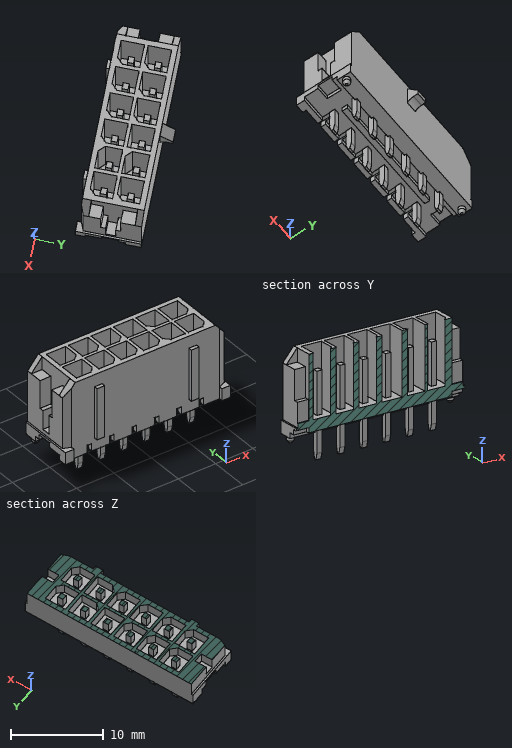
import cadquery as cq

columns = 6
rows = 2
pin_span = 15.0
pitch = pin_span / (columns - 1)

base_length = 22.15
housing_length = 21.7
housing_depth = 6.87
housing_height = 9.92
half_length = housing_length / 2
half_depth = housing_depth / 2

foot_height = 1.6
foot_inner_x = 9.9
front_projection = 0.47
front_y = -half_depth - front_projection

shoulder_z = 8.25
core_half_length = 9.41
corner_setback = 0.4
back_web = 0.73
front_web = 1.0
keyway_steps = [
    (2.2, 4.59),
    (1.13, 2.13),
]

channel_height = 0.66
channel_back_y = 1.65
channel_front_y = -2.8
end_notch_width = 1.88
end_notch_height = 1.26
spacer_width = 0.69
pin_notch_width = 0.58
pin_notch_height = 1.0

socket_size = 2.6
socket_floor_z = 2.13
key_size = 0.66
front_row_keys = ["right", "right", "right", "right", "left", "right"]
back_row_keys = ["right", "right", "right", "none", "left", "right"]

pin_size = 0.69
pin_row_offset = 0.07
pin_top_z = 7.3
pin_bottom_z = -3.17
pin_taper_z = -2.33
pin_tip_width = 0.29

rib_spacing = 12.65
rib_width = 1.02
rib_top_z = 8.33

latch_width = 1.45
latch_tip_y = 4.87
latch_root_z = 9.25
latch_tip_top_z = 7.7
latch_tip_bottom_z = 6.98
latch_fillet = 0.97
latch_flat_end_y = 4.27

peg_x = 10.48
peg_y = 2.48
peg_diameter = 0.89
peg_shoulder_z = -0.53
peg_bottom_z = -0.89
peg_tip_diameter = 0.27


def block(x_min, x_max, y_min, y_max, z_min, z_max):
    size = (x_max - x_min, y_max - y_min, z_max - z_min)
    return cq.Workplane("XY").box(*size, centered=False).translate((x_min, y_min, z_min))


def column_x(column):
    return (column - (columns - 1) / 2) * pitch


def row_y(row):
    return (row - (rows - 1) / 2) * pitch


def make_housing():
    front_outline = [
        (-half_length, 0),
        (half_length, 0),
        (half_length, shoulder_z),
        (core_half_length, housing_height),
        (-core_half_length, housing_height),
        (-half_length, shoulder_z),
    ]
    plan_outline = [
        (-half_length, half_depth),
        (half_length, half_depth),
        (half_length, -half_depth + corner_setback),
        (foot_inner_x, -half_depth),
        (-foot_inner_x, -half_depth),
        (-half_length, -half_depth + corner_setback),
    ]
    profile = cq.Workplane("XZ").polyline(front_outline).close().extrude(half_depth, both=True)
    plan = cq.Workplane("XY").polyline(plan_outline).close().extrude(housing_height)
    return profile.intersect(plan)


def make_foot(side):
    """Foot under one end wall: a thin skirt, wider where it projects past the front wall."""
    outer = side * base_length / 2
    inner = side * foot_inner_x
    return block(min(outer, inner), max(outer, inner), front_y, half_depth, 0, foot_height)


def make_end_cuts(side):
    """Gap between the corner webs, the stepped keyway under it and the small notch below it."""
    core = side * core_half_length
    outer = side * base_length / 2
    x_min = min(core, outer)
    x_max = max(core, outer)
    half_notch = end_notch_width / 2
    cuts = block(x_min, x_max, -half_notch, half_notch, 0, end_notch_height)
    web_gap = (-half_depth + front_web, half_depth - back_web)
    cuts = cuts.union(block(x_min, x_max, *web_gap, shoulder_z, housing_height))
    for width, bottom_z in keyway_steps:
        cuts = cuts.union(block(x_min, x_max, -width / 2, width / 2, bottom_z, housing_height))
    return cuts


def make_socket(column, row, key):
    half = socket_size / 2
    corners = [(half, half), (-half, half)]
    if key == "left":
        corners += [(-half, key_size - half), (key_size - half, -half)]
    else:
        corners += [(-half, -half)]
    if key == "right":
        corners += [(half - key_size, -half), (half, key_size - half)]
    else:
        corners += [(half, -half)]
    outline = cq.Workplane("XY", origin=(column_x(column), row_y(row), socket_floor_z))
    return outline.polyline(corners).close().extrude(housing_height - socket_floor_z)


def make_pin(column, row):
    half = pin_size / 2
    half_tip = pin_tip_width / 2
    side_outline = [
        (-half, pin_top_z),
        (half, pin_top_z),
        (half, pin_taper_z),
        (half_tip, pin_bottom_z),
        (-half_tip, pin_bottom_z),
        (-half, pin_taper_z),
    ]
    pin = cq.Workplane("YZ").polyline(side_outline).close().extrude(half, both=True)
    return pin.translate((column_x(column), row_y(row) + pin_row_offset, 0))


def make_guide_rib(x):
    half = rib_width / 2
    return block(x - half, x + half, front_y, -half_depth, foot_height, rib_top_z)


def make_latch():
    reach = latch_flat_end_y - half_depth
    wall_z = latch_tip_bottom_z - latch_fillet + (latch_fillet**2 - reach**2) ** 0.5
    return (
        cq.Workplane("YZ")
        .moveTo(half_depth, wall_z)
        .lineTo(half_depth, latch_root_z)
        .lineTo(latch_tip_y, latch_tip_top_z)
        .lineTo(latch_tip_y, latch_tip_bottom_z)
        .lineTo(latch_flat_end_y, latch_tip_bottom_z)
        .radiusArc((half_depth, wall_z), -latch_fillet)
        .close()
        .extrude(latch_width / 2, both=True)
    )


def make_peg(x):
    half_profile = [
        (0, 0),
        (peg_diameter / 2, 0),
        (peg_diameter / 2, peg_shoulder_z),
        (peg_tip_diameter / 2, peg_bottom_z),
        (0, peg_bottom_z),
    ]
    peg = cq.Workplane("XZ").polyline(half_profile).close().revolve(360, (0, 0), (0, 1))
    return peg.translate((x, peg_y, 0))


body = make_housing()
for side in (-1, 1):
    body = body.union(make_foot(side))
    body = body.union(make_guide_rib(side * rib_spacing / 2))
body = body.union(make_latch())

half_base = base_length / 2
body = body.cut(block(-half_base, half_base, channel_front_y, channel_back_y, 0, channel_height))
for side in (-1, 1):
    body = body.cut(make_end_cuts(side))

half_spacer = spacer_width / 2
spacer_ends = (-pin_span / 2, pin_span / 2)
body = body.union(block(*spacer_ends, -half_spacer, half_spacer, 0, channel_height))

for row, keys in enumerate((front_row_keys, back_row_keys)):
    for column, key in enumerate(keys):
        body = body.cut(make_socket(column, row, key))
front_pin_face_y = row_y(0) + pin_row_offset - pin_size / 2
for column in range(columns):
    left = column_x(column) - pin_notch_width / 2
    right = left + pin_notch_width
    body = body.cut(block(left, right, -half_depth, front_pin_face_y, 0, pin_notch_height))

for column in range(columns):
    for row in range(rows):
        body = body.union(make_pin(column, row))
for side in (-1, 1):
    body = body.union(make_peg(side * peg_x))

result = body